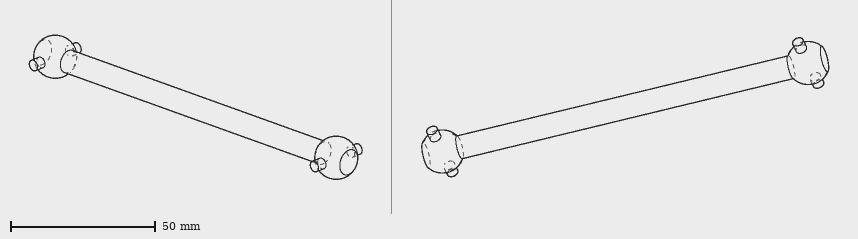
import cadquery as cq

overall_length = 146.0
ball_diameter = 15.0
ball_center_to_end = 6.0
shaft_diameter = 8.2
pin_diameter = 4.0
pin_length = 22.0

ball_center_x = overall_length / 2 - ball_center_to_end


def make_shaft():
    """Round shaft along X, joining the two ball centers."""
    return (
        cq.Workplane("YZ", origin=(-ball_center_x, 0, 0))
        .circle(shaft_diameter / 2)
        .extrude(2 * ball_center_x)
    )


def make_ball_end(center_x):
    """Ball with a drive pin passing through it along Y."""
    ball = cq.Workplane("XY").sphere(ball_diameter / 2)
    pin = cq.Workplane("XZ").circle(pin_diameter / 2).extrude(pin_length / 2, both=True)
    return ball.union(pin).translate((center_x, 0, 0))


def trim_end_faces(body):
    """Cut the outer side of each ball flat at the overall length."""
    envelope = cq.Workplane("XY").box(overall_length, pin_length, ball_diameter)
    return body.intersect(envelope)


dogbone = make_shaft()
for side in (-1, 1):
    dogbone = dogbone.union(make_ball_end(side * ball_center_x))

result = trim_end_faces(dogbone)